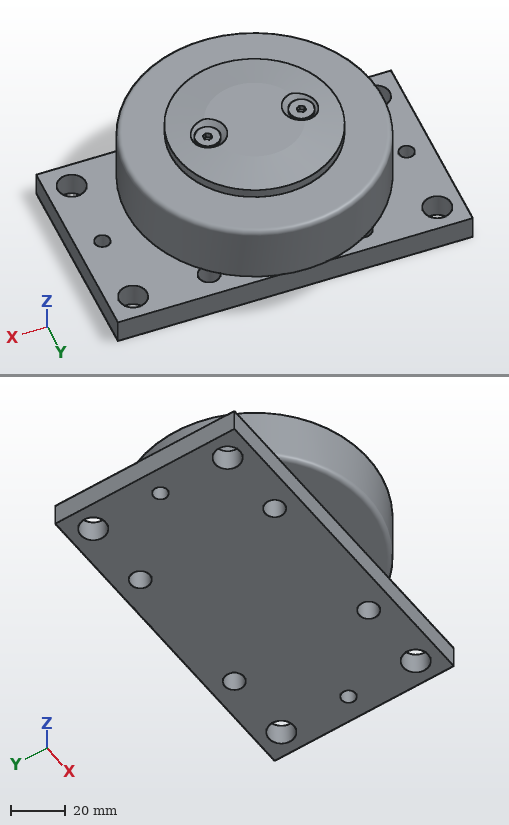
import cadquery as cq
import math

PLATE_LENGTH = 140.0
PLATE_WIDTH = 80.0
PLATE_THICKNESS = 10.0
EDGE_MARGIN = 10.0
CORNER_HOLE_DIAMETER = 11.0
DOWEL_HOLE_DIAMETER = 6.0
INNER_HOLE_DIAMETER = 8.38
INNER_HOLE_SPACING = 60.0
CORNER_SPACING_X = PLATE_LENGTH - 2 * EDGE_MARGIN
CORNER_SPACING_Y = PLATE_WIDTH - 2 * EDGE_MARGIN

NECK_DIAMETER = 49.0
ROLLER_DIAMETER = 101.2
ROLLER_WIDTH = 25.0
ROLLER_EDGE_RADIUS = 2.0
ROLLER_GAP = 9.7
ROLLER_BOTTOM = PLATE_THICKNESS + ROLLER_GAP
ROLLER_TOP = ROLLER_BOTTOM + ROLLER_WIDTH

TOTAL_HEIGHT = 51.0
CAP_DIAMETER = 66.0
CAP_FLAT_DIAMETER = 37.0
CAP_CONE_HEIGHT = 2.6
CAP_EDGE_HEIGHT = TOTAL_HEIGHT - CAP_CONE_HEIGHT - ROLLER_TOP

RECESS_OFFSET = CAP_FLAT_DIAMETER / 2
RECESS_FLOOR_DIAMETER = 9.75
RECESS_MOUTH_DIAMETER = 14.5
RECESS_DEPTH = (RECESS_MOUTH_DIAMETER - RECESS_FLOOR_DIAMETER) / 2
RECESS_FLOOR_HEIGHT = TOTAL_HEIGHT - RECESS_DEPTH

DISC_HEIGHT = 0.75
SOCKET_SIDES = 6
SOCKET_TURN = 180.0 / SOCKET_SIDES
SOCKET_ACROSS_FLATS = 3.0
SOCKET_ACROSS_CORNERS = SOCKET_ACROSS_FLATS / math.cos(math.pi / SOCKET_SIDES)
SOCKET_DEPTH = 2.0


def make_plate():
    plate = cq.Workplane("XY").box(
        PLATE_LENGTH, PLATE_WIDTH, PLATE_THICKNESS, centered=(True, True, False)
    )
    top = plate.faces(">Z").workplane()
    plate = top.rarray(CORNER_SPACING_X, CORNER_SPACING_Y, 2, 2).hole(CORNER_HOLE_DIAMETER)
    top = plate.faces(">Z").workplane()
    plate = top.rarray(INNER_HOLE_SPACING, INNER_HOLE_SPACING, 2, 2).hole(INNER_HOLE_DIAMETER)
    top = plate.faces(">Z").workplane()
    return top.rarray(CORNER_SPACING_X, 1, 2, 1).hole(DOWEL_HOLE_DIAMETER)


def make_neck():
    return (
        cq.Workplane("XY")
        .workplane(offset=PLATE_THICKNESS)
        .circle(NECK_DIAMETER / 2)
        .extrude(ROLLER_GAP)
    )


def make_roller():
    return (
        cq.Workplane("XY")
        .workplane(offset=ROLLER_BOTTOM)
        .circle(ROLLER_DIAMETER / 2)
        .extrude(ROLLER_WIDTH)
        .edges()
        .fillet(ROLLER_EDGE_RADIUS)
    )


def make_cap():
    profile = [
        (0, ROLLER_TOP),
        (CAP_DIAMETER / 2, ROLLER_TOP),
        (CAP_DIAMETER / 2, ROLLER_TOP + CAP_EDGE_HEIGHT),
        (CAP_FLAT_DIAMETER / 2, TOTAL_HEIGHT),
        (0, TOTAL_HEIGHT),
    ]
    return cq.Workplane("XZ").polyline(profile).close().revolve(360, (0, 0), (0, 1))


def make_recess(center_x):
    return (
        cq.Workplane("XY", origin=(center_x, 0, RECESS_FLOOR_HEIGHT))
        .circle(RECESS_FLOOR_DIAMETER / 2)
        .workplane(offset=RECESS_DEPTH)
        .circle(RECESS_MOUTH_DIAMETER / 2)
        .loft()
    )


def make_disc(center_x):
    return (
        cq.Workplane("XY", origin=(center_x, 0, RECESS_FLOOR_HEIGHT))
        .circle(RECESS_FLOOR_DIAMETER / 2)
        .extrude(DISC_HEIGHT)
    )


def make_socket(center_x):
    return (
        cq.Workplane("XY", origin=(center_x, 0, RECESS_FLOOR_HEIGHT + DISC_HEIGHT))
        .transformed(rotate=(0, 0, SOCKET_TURN))
        .polygon(SOCKET_SIDES, SOCKET_ACROSS_CORNERS)
        .extrude(-SOCKET_DEPTH)
    )


result = make_plate().union(make_neck()).union(make_roller()).union(make_cap())
for recess_x in (-RECESS_OFFSET, RECESS_OFFSET):
    result = result.cut(make_recess(recess_x))
    result = result.union(make_disc(recess_x))
    result = result.cut(make_socket(recess_x))